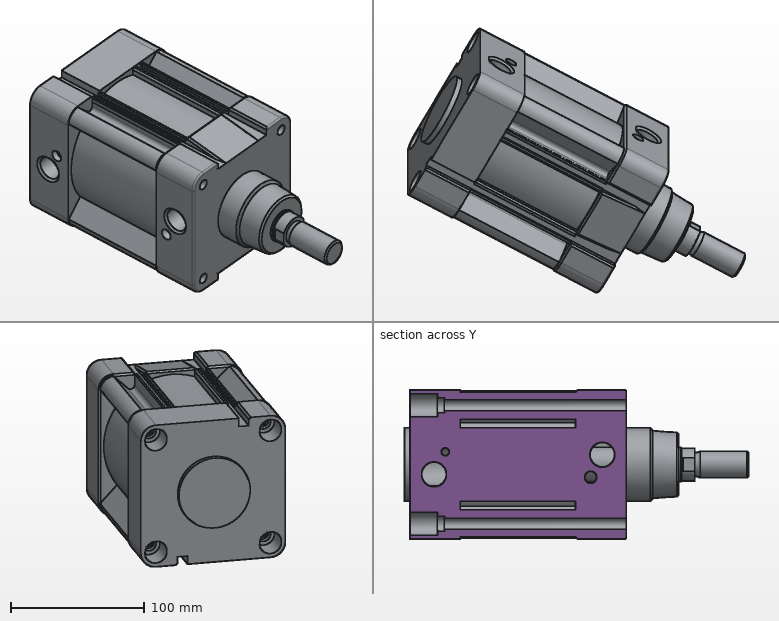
import cadquery as cq
import math


REAR_CAP_START = 4.0
REAR_CAP_END = 42.0
FRONT_CAP_START = 128.2
FRONT_CAP_END = 166.5
TOTAL_LENGTH = 258.0

CAP_SIZE = 112.0
CAP_HALF = CAP_SIZE / 2
CAP_CORNER_RADIUS = 11.5
CAP_EDGE_CHAMFER = 1.5

TIE_ROD_OFFSET = CAP_HALF - CAP_CORNER_RADIUS
TIE_ROD_HOLE_RADIUS = 8.0 / 2
TIE_ROD_SEAT_RADIUS = 11.0 / 2
TIE_ROD_BORE_RADIUS = 8.5
TIE_ROD_BORE_DEPTH = 20.6
TIE_ROD_SEAT_DEPTH = 25.8

SLOT_INNER = 19.9
SLOT_OUTER = 27.5
SLOT_DEPTH = 6.5
SLOT_CHAMFER = 1.5
SLOT_FLOOR = CAP_HALF - SLOT_DEPTH
SLOT_LIP_WIDTH = 1.68
SLOT_MOUTH_INNER = SLOT_INNER + SLOT_LIP_WIDTH
SLOT_MOUTH_OUTER = 26.5
SLOT_LIP_DEPTH = 3.0
SLOT_LIP_BOTTOM = CAP_HALF - SLOT_LIP_DEPTH

TUBE_INSET = 0.8
TUBE_HALF = CAP_HALF - TUBE_INSET
BARREL_RADIUS = 52.5
POCKET_HALF_WIDTH = 45.2
RAIL_INNER = 18.0
RAIL_OUTER = 28.5
RAIL_CHAMFER = 1.5
POCKET_WALL_SLOPE = math.tan(math.radians(43.5))
POCKET_FILLET = 3.0

PORT_RADIUS = 18.3 / 2
PORT_CHAMFER = 1.8
PORT_HEIGHT = 14.7 / 2
SCREW_RADIUS = 4.5
SCREW_HEIGHT = 9.5
SCREW_SEAT_RADIUS = 2.8
SCREW_SEAT_DEPTH = 5.2
REAR_PORT_X = 22.2
REAR_SCREW_X = 30.7
FRONT_PORT_X = 148.4
FRONT_PORT_DEPTH = 54.7
FRONT_SCREW_X = 139.5

CHAMBER_RADIUS = 16.0
CHAMBER_MARGIN = 1.3
INNER_ROD_RADIUS = 13.0

BOSS_RADIUS = 27.5
BOSS_END = 185.0
BOSS_CHAMFER = 0.8
NOSE_START = 186.0
NOSE_START_RADIUS = 25.5
NOSE_END = 205.5
NOSE_END_RADIUS = 24.3
NOSE_CHAMFER = 1.5
WIPER_RADIUS = 13.0
WIPER_END = 208.0
WIPER_CHAMFER = 0.8
ROD_RADIUS = 12.5
ROD_END = 217.8
FLAT_START = 209.0
FLAT_DISTANCE = 11.4
NECK_RADIUS = 9.0
NECK_END = 222.0
THREAD_RADIUS = 10.0
THREAD_CHAMFER = 1.3


def box(x_range, y_range, z_range):
    """Box between the given limits on each axis."""
    size = [high - low for low, high in (x_range, y_range, z_range)]
    corner = (x_range[0], y_range[0], z_range[0])
    return cq.Workplane("XY").box(*size, centered=False).translate(corner)


def prism(points, start, end):
    """Extrude a closed (Y, Z) outline from X = start to X = end."""
    return cq.Workplane("YZ", origin=(start, 0, 0)).polyline(points).close().extrude(end - start)


def rod(radius, start, end, y=0.0, z=0.0):
    """Cylinder parallel to X."""
    return cq.Workplane("YZ", origin=(start, y, z)).circle(radius).extrude(end - start)


def half_turn(shape):
    """The same shape turned half a turn about the cylinder axis."""
    return shape.rotate((0, 0, 0), (1, 0, 0), 180)


def mirrored_y(shape):
    """The shape together with its mirror image across the XZ plane."""
    return shape.union(shape.mirror("XZ"))


def rounded_square(half, radius, start, end):
    """Square bar along X with rounded corners."""
    side = 2 * half
    bar = cq.Workplane("YZ", origin=(start, 0, 0)).rect(side, side).extrude(end - start)
    return bar.edges("|X").fillet(radius)


def rear_cap():
    """Square cap with one slot on top and one below, each with its outer edge chamfered."""
    cap = rounded_square(CAP_HALF, CAP_CORNER_RADIUS, REAR_CAP_START, REAR_CAP_END)
    slot_outline = [
        (-SLOT_INNER, CAP_HALF),
        (-SLOT_INNER, SLOT_FLOOR),
        (-SLOT_OUTER, SLOT_FLOOR),
        (-SLOT_OUTER, CAP_HALF - SLOT_CHAMFER),
        (-SLOT_OUTER - SLOT_CHAMFER, CAP_HALF),
    ]
    slot = prism(slot_outline, REAR_CAP_START, REAR_CAP_END)
    return cap.cut(slot).cut(half_turn(slot))


def tube():
    """Tube with hollowed sides, a round barrel and two slotted rails on top and below."""
    span = (REAR_CAP_END, FRONT_CAP_START)
    body = rounded_square(TUBE_HALF, CAP_CORNER_RADIUS - TUBE_INSET, *span)

    side_pocket = prism(
        [
            (-TUBE_HALF, -POCKET_HALF_WIDTH),
            (-TUBE_HALF, POCKET_HALF_WIDTH),
            (POCKET_HALF_WIDTH * POCKET_WALL_SLOPE - TUBE_HALF, 0),
        ],
        *span,
    )
    body = body.cut(mirrored_y(side_pocket))

    corner_depth = TUBE_HALF - (POCKET_HALF_WIDTH - RAIL_OUTER) * POCKET_WALL_SLOPE
    rail_pocket = (
        prism([(RAIL_OUTER, TUBE_HALF), (RAIL_OUTER, corner_depth), (POCKET_HALF_WIDTH, TUBE_HALF)], *span)
        .edges("|X and <Z")
        .fillet(POCKET_FILLET)
    )
    trough = prism(
        [
            (0, TUBE_HALF),
            (RAIL_INNER + RAIL_CHAMFER, TUBE_HALF),
            (RAIL_INNER, TUBE_HALF - RAIL_CHAMFER),
            (RAIL_INNER, 0),
            (0, 0),
        ],
        *span,
    )
    top_pockets = mirrored_y(rail_pocket.union(trough))
    body = body.cut(top_pockets).cut(half_turn(top_pockets))
    body = body.union(rod(BARREL_RADIUS, *span))

    mouth = box(span, (SLOT_MOUTH_INNER, SLOT_MOUTH_OUTER), (SLOT_FLOOR, TUBE_HALF))
    undercut = box(span, (SLOT_INNER, SLOT_OUTER), (SLOT_FLOOR, SLOT_LIP_BOTTOM))
    slots = mirrored_y(mouth.union(undercut))
    return body.cut(slots).cut(half_turn(slots))


def front_cap():
    """Square cap with a wide channel above and below, each holding a sloping plateau."""
    span = (FRONT_CAP_START, FRONT_CAP_END)
    cap = rounded_square(CAP_HALF, CAP_CORNER_RADIUS, *span)
    cap = cap.faces("<X").chamfer(CAP_EDGE_CHAMFER).faces(">X").edges().fillet(CAP_EDGE_CHAMFER)
    half_mouth = SLOT_OUTER + SLOT_CHAMFER
    channel = prism(
        [
            (-half_mouth, CAP_HALF),
            (-SLOT_OUTER, CAP_HALF - SLOT_CHAMFER),
            (-SLOT_OUTER, SLOT_FLOOR),
            (SLOT_OUTER, SLOT_FLOOR),
            (SLOT_OUTER, CAP_HALF - SLOT_CHAMFER),
            (half_mouth, CAP_HALF),
        ],
        *span,
    )
    plateau_profile = [
        (FRONT_CAP_START, 0),
        (FRONT_CAP_START, CAP_HALF),
        (FRONT_CAP_END, SLOT_FLOOR),
        (FRONT_CAP_END, 0),
    ]
    plateau = (
        cq.Workplane("XZ")
        .polyline(plateau_profile)
        .close()
        .extrude(SLOT_INNER, both=True)
        .faces(">Z")
        .edges("<X or <Y or >Y")
        .chamfer(CAP_EDGE_CHAMFER)
    )
    for cut, added in ((channel, plateau), (half_turn(channel), half_turn(plateau))):
        cap = cap.cut(cut).union(added)
    return cap


def boss_and_rod():
    """Front boss, tapered nose and stepped piston rod, turned in one piece about X."""
    neck_length = NECK_END - ROD_END
    neck_rise = THREAD_RADIUS - NECK_RADIUS
    neck_arc_radius = (neck_length**2 + neck_rise**2) / (2 * neck_rise)
    turned = (
        cq.Workplane("XY")
        .moveTo(FRONT_CAP_END, 0)
        .lineTo(FRONT_CAP_END, BOSS_RADIUS)
        .lineTo(BOSS_END - BOSS_CHAMFER, BOSS_RADIUS)
        .lineTo(BOSS_END, BOSS_RADIUS - BOSS_CHAMFER)
        .lineTo(NOSE_START, NOSE_START_RADIUS)
        .lineTo(NOSE_END - NOSE_CHAMFER, NOSE_END_RADIUS)
        .lineTo(NOSE_END, NOSE_END_RADIUS - NOSE_CHAMFER)
        .lineTo(NOSE_END, WIPER_RADIUS)
        .lineTo(WIPER_END - WIPER_CHAMFER, WIPER_RADIUS)
        .lineTo(WIPER_END, ROD_RADIUS)
        .lineTo(ROD_END, ROD_RADIUS)
        .lineTo(ROD_END, NECK_RADIUS)
        .radiusArc((NECK_END, THREAD_RADIUS), -neck_arc_radius)
        .lineTo(TOTAL_LENGTH - THREAD_CHAMFER, THREAD_RADIUS)
        .lineTo(TOTAL_LENGTH, THREAD_RADIUS - THREAD_CHAMFER)
        .lineTo(TOTAL_LENGTH, 0)
        .close()
        .revolve(360, (0, 0, 0), (1, 0, 0))
    )
    flat = box((FLAT_START, ROD_END), (FLAT_DISTANCE, ROD_RADIUS), (-ROD_RADIUS, ROD_RADIUS))
    return turned.cut(mirrored_y(flat))


def tie_rod_holes():
    """Stepped holes along X at the four corners, widest at the rear face."""
    steps = (
        (TIE_ROD_HOLE_RADIUS, FRONT_CAP_END),
        (TIE_ROD_SEAT_RADIUS, REAR_CAP_START + TIE_ROD_SEAT_DEPTH),
        (TIE_ROD_BORE_RADIUS, REAR_CAP_START + TIE_ROD_BORE_DEPTH),
    )
    holes = cq.Workplane("XY")
    for y in (-TIE_ROD_OFFSET, TIE_ROD_OFFSET):
        for z in (-TIE_ROD_OFFSET, TIE_ROD_OFFSET):
            for radius, end in steps:
                holes = holes.union(rod(radius, REAR_CAP_START, end, y, z))
    return holes


def side_hole(x, z, radius, depth=CAP_HALF):
    """Cylinder sunk from the -Y side; by default it reaches the axis."""
    return cq.Workplane("XZ", origin=(x, depth - CAP_HALF, z)).circle(radius).extrude(depth)


def port(x, z, depth=CAP_HALF):
    """Air port with a conical mouth; by default it reaches the axis."""
    wide = PORT_RADIUS + PORT_CHAMFER
    centre = cq.Vector(x, -CAP_HALF, z)
    inward = cq.Vector(0, 1, 0)
    mouth = cq.Solid.makeCone(wide, PORT_RADIUS, PORT_CHAMFER, centre, inward)
    return side_hole(x, z, PORT_RADIUS, depth).union(cq.Workplane(mouth))


def rear_air_passages():
    """Port and seated screw hole, both opening into a round chamber about the axis."""
    screw = side_hole(REAR_SCREW_X, SCREW_HEIGHT, SCREW_RADIUS, SCREW_SEAT_DEPTH)
    screw = screw.union(side_hole(REAR_SCREW_X, SCREW_HEIGHT, SCREW_SEAT_RADIUS))
    reach = max(PORT_RADIUS, REAR_SCREW_X + SCREW_SEAT_RADIUS - REAR_PORT_X) + CHAMBER_MARGIN
    chamber = rod(CHAMBER_RADIUS, REAR_PORT_X - reach, REAR_PORT_X + reach)
    return port(REAR_PORT_X, -PORT_HEIGHT).union(screw).union(chamber)


def front_air_passages():
    """Port and screw hole that run up to the axis but leave the piston rod whole."""
    screw = side_hole(FRONT_SCREW_X, -SCREW_HEIGHT, SCREW_RADIUS)
    passages = port(FRONT_PORT_X, PORT_HEIGHT, FRONT_PORT_DEPTH).union(screw)
    return passages.cut(rod(INNER_ROD_RADIUS, FRONT_CAP_START, FRONT_CAP_END))


spigot = rod(BOSS_RADIUS, 0, REAR_CAP_START)
result = spigot.union(rear_cap()).union(tube()).union(front_cap()).union(boss_and_rod())
result = result.cut(tie_rod_holes()).cut(rear_air_passages()).cut(front_air_passages())